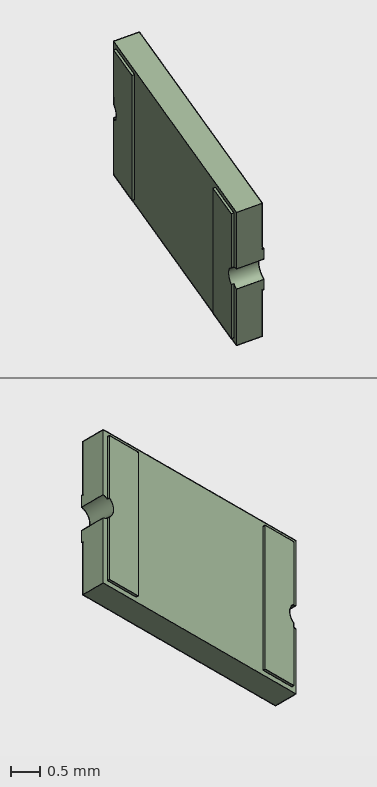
import cadquery as cq

BODY_LENGTH = 4.67
BODY_THICKNESS = 0.50
BODY_HEIGHT = 3.23

FRONT_PAD_WIDTH = 0.70
FRONT_PAD_THICKNESS = 0.05
FRONT_PAD_INSET = 0.10
FRONT_PAD_HEIGHT = BODY_HEIGHT - 2 * FRONT_PAD_INSET

BACK_LAND_RADIUS = 0.50
BACK_LAND_THICKNESS = 0.03

NOTCH_RADIUS = 0.25
NOTCH_OFFSET = 0.05

TOTAL_THICKNESS = FRONT_PAD_THICKNESS + BODY_THICKNESS + BACK_LAND_THICKNESS
FRONT_FACE_Y = -BODY_THICKNESS / 2
BACK_FACE_Y = BODY_THICKNESS / 2
FRONT_PAD_CENTER_X = BODY_LENGTH / 2 - FRONT_PAD_INSET - FRONT_PAD_WIDTH / 2
NOTCH_CENTER_X = BODY_LENGTH / 2 + NOTCH_OFFSET


def block(length, height, start_y, thickness, center_x=0):
    """Box centred on Z = 0 that grows toward +Y from start_y."""
    center_y = start_y + thickness / 2
    return cq.Workplane("XY").box(length, thickness, height).translate((center_x, center_y, 0))


def disc(radius, start_y, thickness, center_x):
    """Cylinder along Y that grows toward +Y from start_y."""
    axis_start = cq.Vector(center_x, start_y, 0)
    return cq.Workplane(cq.Solid.makeCylinder(radius, thickness, axis_start, cq.Vector(0, 1, 0)))


def front_pad(side):
    start_y = FRONT_FACE_Y - FRONT_PAD_THICKNESS
    return block(FRONT_PAD_WIDTH, FRONT_PAD_HEIGHT, start_y, FRONT_PAD_THICKNESS, side * FRONT_PAD_CENTER_X)


def back_land(side):
    """Part of a disc that lies within the length of the body."""
    land = disc(BACK_LAND_RADIUS, BACK_FACE_Y, BACK_LAND_THICKNESS, side * NOTCH_CENTER_X)
    return land.intersect(block(BODY_LENGTH, BODY_HEIGHT, BACK_FACE_Y, BACK_LAND_THICKNESS))


def end_notch(side):
    """Cutter through the body, the front pad and the back land."""
    start_y = FRONT_FACE_Y - FRONT_PAD_THICKNESS
    return disc(NOTCH_RADIUS, start_y, TOTAL_THICKNESS, side * NOTCH_CENTER_X)


result = block(BODY_LENGTH, BODY_HEIGHT, FRONT_FACE_Y, BODY_THICKNESS)
for end_side in (-1, 1):
    result = result.union(front_pad(end_side)).union(back_land(end_side)).cut(end_notch(end_side))